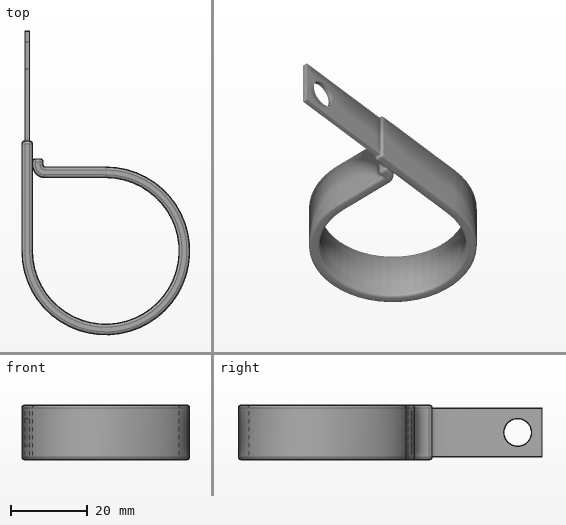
import cadquery as cq
import math


strap_width = 12.7
strap_thickness = 1.245
strap_reach = 57.15
hole_diameter = 7.13
hole_end_distance = 6.35

layer = 0.762
cushion_width = strap_width + 2 * layer
cushion_thickness = strap_thickness + 2 * layer
leg_reach = strap_reach / 2

clamped_diameter = 38.1
hoop_radius = clamped_diameter / 2 + cushion_thickness / 2
bend_inner_radius = 0.508
bend_radius = bend_inner_radius + cushion_thickness / 2
tab_straight = 1.6

leg_x = -hoop_radius
tab_x = leg_x + cushion_thickness
bend_center_x = tab_x + bend_radius
bend_center_y = hoop_radius + bend_radius

diagonal = math.sqrt(0.5)


def cushion_bar(center_x, start_y, length):
    """Straight cushion along +Y, square at its start and rounded at its far end."""
    return (
        cq.Workplane("XY")
        .box(cushion_thickness, length, cushion_width)
        .edges("not <Y")
        .fillet(layer)
        .translate((center_x, start_y + length / 2, 0))
    )


def cushion_hoop():
    """Rounded cushion section swept round the hoop, along the flat run and up the bend."""
    section = (
        cq.Sketch()
        .rect(cushion_thickness, cushion_width)
        .vertices()
        .fillet(layer)
    )
    bend_diagonal = bend_radius * diagonal
    path = (
        cq.Workplane("XY")
        .moveTo(leg_x, 0)
        .threePointArc((hoop_radius * diagonal, -hoop_radius * diagonal), (0, hoop_radius))
        .lineTo(bend_center_x, hoop_radius)
        .threePointArc(
            (bend_center_x - bend_diagonal, bend_center_y - bend_diagonal),
            (tab_x, bend_center_y),
        )
    )
    return cq.Workplane("XZ", origin=(leg_x, 0, 0)).placeSketch(section).sweep(path)


def metal_strap():
    """Straight metal strap of the mounting leg, with its bolt hole."""
    strap = (
        cq.Workplane("XY")
        .box(strap_thickness, strap_reach, strap_width)
        .translate((leg_x, strap_reach / 2, 0))
    )
    bolt_hole = (
        cq.Workplane("YZ", origin=(leg_x, strap_reach - hole_end_distance, 0))
        .circle(hole_diameter / 2)
        .extrude(strap_thickness, both=True)
    )
    return strap.cut(bolt_hole)


mounting_leg = cushion_bar(leg_x, 0, leg_reach)
tab = cushion_bar(tab_x, bend_center_y, tab_straight)

result = cushion_hoop().union(tab).union(mounting_leg).union(metal_strap())